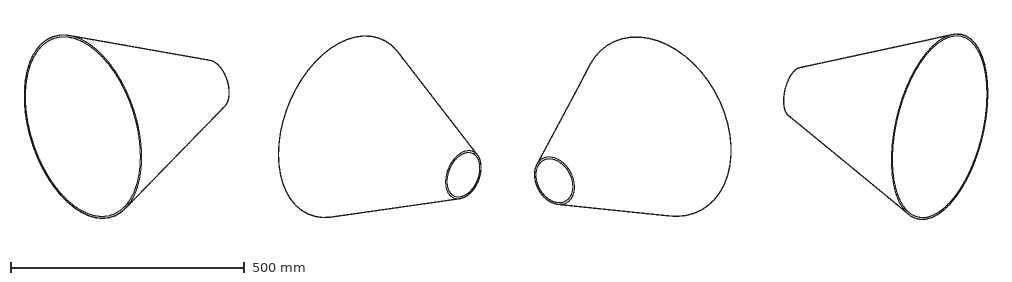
import math

import cadquery as cq

LARGE_DIAMETER = 406.4
SMALL_DIAMETER = 108.0
LENGTH = 356.0
WALL = 4.0

half_angle = math.atan2((LARGE_DIAMETER - SMALL_DIAMETER) / 2, LENGTH)
radial_wall = WALL / math.cos(half_angle)


def cone_along_y(large_diameter, small_diameter):
    """Solid cone with its large end at Y = 0 and its small end at Y = LENGTH."""
    half_profile = (
        cq.Workplane("XY")
        .lineTo(large_diameter / 2, 0)
        .lineTo(small_diameter / 2, LENGTH)
        .lineTo(0, LENGTH)
        .close()
    )
    return half_profile.revolve(360, (0, 0, 0), (0, 1, 0))


outer_cone = cone_along_y(LARGE_DIAMETER, SMALL_DIAMETER)
bore = cone_along_y(LARGE_DIAMETER - 2 * radial_wall, SMALL_DIAMETER - 2 * radial_wall)

result = outer_cone.cut(bore)